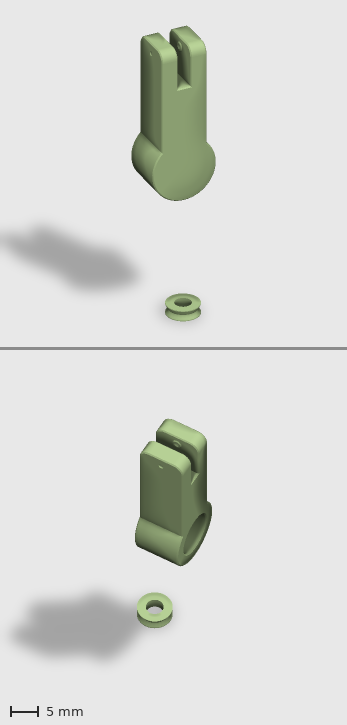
import cadquery as cq

ARM_WIDTH = 9.0
RING_RADIUS = 6.4
ARM_TOP = 25.0
CORNER_RADIUS = 2.0
EDGE_BREAK = 0.2

BORE_DIAMETER = 8.0
BORE_DEPTH = 5.5
BORE_CHAMFER = EDGE_BREAK

SLOT_WIDTH = 2.55
SLOT_DEPTH = 8.0
AXLE_DIAMETER = 1.0
AXLE_DROP = 2.05
AXLE_HEIGHT = ARM_TOP - AXLE_DROP
BOSS_BASE_DIAMETER = 2.0
BOSS_HEIGHT = 0.2
BOSS_TIP_DIAMETER = BOSS_BASE_DIAMETER - 2 * BOSS_HEIGHT

TOTAL_HEIGHT = 54.95
ROLLER_DIAMETER = 6.5
ROLLER_BORE = 3.2
ROLLER_HEIGHT = 2.1
ROLLER_RIM = 0.15
GROOVE_DIAMETER = 5.5
ROLLER_X = 3.9
ROLLER_BOTTOM = ARM_TOP - TOTAL_HEIGHT


def arm_blank():
    """Upright with rounded top corners, joined to the ring cylinder."""
    upright = (
        cq.Workplane("XY")
        .box(ARM_WIDTH, ARM_WIDTH, ARM_TOP, centered=(True, True, False))
        .edges("|Y and >Z")
        .fillet(CORNER_RADIUS)
    )
    ring = cq.Workplane("YZ").circle(RING_RADIUS).extrude(ARM_WIDTH / 2, both=True)
    return upright.union(ring)


def fork_slot():
    slot_bottom = ARM_TOP - SLOT_DEPTH
    return (
        cq.Workplane("XY", origin=(0, 0, slot_bottom))
        .box(ARM_WIDTH, SLOT_WIDTH, SLOT_DEPTH, centered=(True, True, False))
    )


def break_edges(arm):
    """Chamfer the outlines of the end faces and of both faces of each fork tine."""
    end_edges = arm.faces("<X or >X").edges()
    tine_edges = arm.faces("|Y").edges("not |X").add(arm.edges("|X and >Z"))
    return arm.newObject(end_edges.add(tine_edges).vals()).chamfer(EDGE_BREAK)


def ring_bore():
    """Blind bore with a chamfered mouth on the -X side."""
    mouth_x = -ARM_WIDTH / 2
    bore_radius = BORE_DIAMETER / 2
    return (
        cq.Workplane("XY")
        .moveTo(mouth_x, 0)
        .lineTo(mouth_x, bore_radius + BORE_CHAMFER)
        .lineTo(mouth_x + BORE_CHAMFER, bore_radius)
        .lineTo(mouth_x + BORE_DEPTH, bore_radius)
        .lineTo(mouth_x + BORE_DEPTH, 0)
        .close()
        .revolve(360, (0, 0, 0), (1, 0, 0))
    )


def axle_boss(side):
    """Conical boss on the slot wall at the given Y side (+1 or -1)."""
    return cq.Workplane("XY").add(
        cq.Solid.makeCone(
            BOSS_BASE_DIAMETER / 2,
            BOSS_TIP_DIAMETER / 2,
            BOSS_HEIGHT,
            cq.Vector(0, side * SLOT_WIDTH / 2, AXLE_HEIGHT),
            cq.Vector(0, -side, 0),
        )
    )


def make_arm():
    arm = break_edges(arm_blank().cut(fork_slot())).cut(ring_bore())
    for side in (-1, 1):
        arm = arm.union(axle_boss(side))
    axle_hole = (
        cq.Workplane("XZ", origin=(0, 0, AXLE_HEIGHT))
        .circle(AXLE_DIAMETER / 2)
        .extrude(ARM_WIDTH / 2, both=True)
    )
    return arm.cut(axle_hole)


def make_roller():
    """Ring with a V groove between two narrow rims."""
    bore_radius = ROLLER_BORE / 2
    rim_radius = ROLLER_DIAMETER / 2
    return (
        cq.Workplane("XZ")
        .moveTo(bore_radius, 0)
        .lineTo(rim_radius, 0)
        .lineTo(rim_radius, ROLLER_RIM)
        .lineTo(GROOVE_DIAMETER / 2, ROLLER_HEIGHT / 2)
        .lineTo(rim_radius, ROLLER_HEIGHT - ROLLER_RIM)
        .lineTo(rim_radius, ROLLER_HEIGHT)
        .lineTo(bore_radius, ROLLER_HEIGHT)
        .close()
        .revolve(360, (0, 0, 0), (0, 1, 0))
        .translate((ROLLER_X, 0, ROLLER_BOTTOM))
    )


arm = make_arm()
roller = make_roller()

result = cq.Compound.makeCompound([arm.val(), roller.val()])